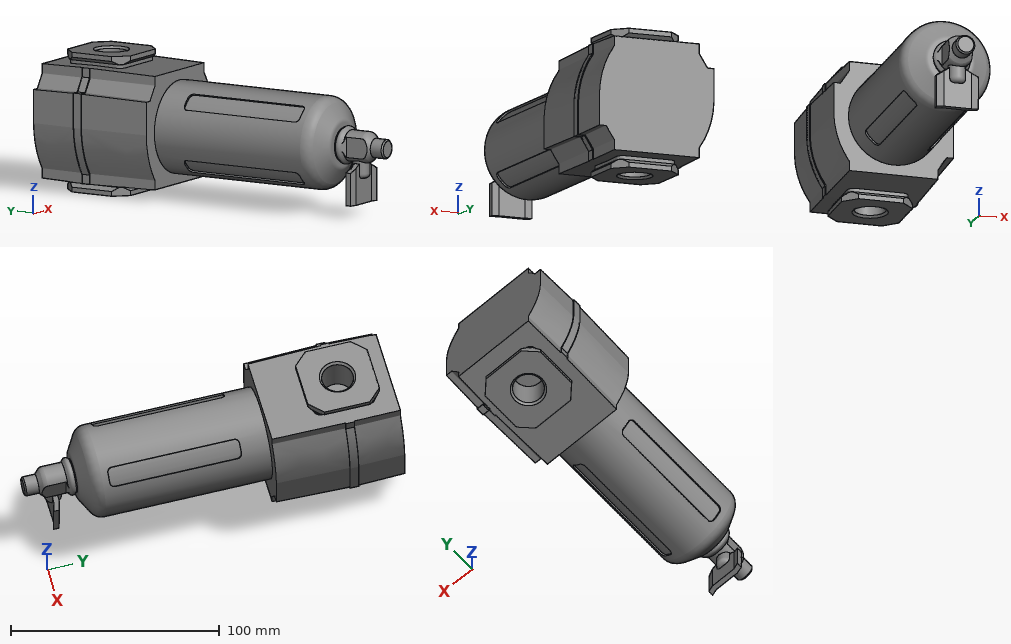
import cadquery as cq
import math


HEAD_FRONT = 38.5
HEAD_BACK = 25.2
HEAD_WIDTH = 62.3
BAND_RISE = 0.45
BAND_STEP_RISE = 0.2
DRAFT_ANGLE = 1.0
HEAD_HALF_HEIGHT = 28.3
FLAT_HALF_WIDTH = 22.9
SIDE_HALF_WIDTH = HEAD_WIDTH / 2 - BAND_RISE
CORNER_HEIGHT = 23.2
STEP_HEIGHT = 16.9
STEP_HALF_WIDTH = 27.0
SIDE_BULGE_X = 28.3
SIDE_BULGE_Z = 12.7
BAND_HALF_LENGTH = 2.2

FLANGE_SPAN = 68.0
PORT_TOP = FLANGE_SPAN / 2
PLATE_HALF_WIDTH = 17.8
PLATE_CORNER_CUT = 6.5
PLATE_THICKNESS = 4.2
PLATE_BEVEL_HEIGHT = 1.8
NECK_HALF_WIDTH = 15.2
NECK_CORNER_RADIUS = 3.5
PORT_RADIUS = 7.6
PORT_CHAMFER = 1.0
PORT_DEPTH = 18.2

BOWL_RADIUS = 22.7
BOWL_END = 131.4
BOWL_CONE_ANGLE = 31.5
BOWL_TIP_RADIUS = 11.6
BOWL_SHOULDER_FILLET = 6.4
BOWL_TIP_FILLET = 3.3
WINDOW_COUNT = 4
WINDOW_START = 52.5
WINDOW_END = 117.8
WINDOW_WIDTH = 9.6
WINDOW_DEPTH = 0.9
WINDOW_CORNER_RADIUS = 2.4

OVERALL_LENGTH = 181.5
DRAIN_LENGTH = OVERALL_LENGTH - HEAD_BACK - BOWL_END
COLLAR_BASE_RADIUS = 8.3
COLLAR_BASE_LENGTH = 0.5
COLLAR_RADIUS = 9.3
COLLAR_MIDDLE = 1.8
COLLAR_LENGTH = 3.0
COLLAR_EDGE_RADIUS = 8.9
DRAIN_RADIUS = 7.6
FLAT_START = 5.0
DRAIN_FLAT_HALF_WIDTH = 5.8
STEM_RADIUS = 4.7
STEM_START = 18.0
DRAIN_SHOULDER_FILLET = 2.7
STEM_END_CHAMFER = 0.7

LEVER_OFFSET = 10.0
BOSS_RADIUS = 4.2
BOSS_BOTTOM = 15.2
BOSS_FILLET = 2.2
LEVER_THICKNESS = 2.7
LEVER_BEND_X = 6.9
LEVER_TIP_X = 10.2
LEVER_BEND_SHIFT = 1.0
LEVER_BOTTOM = 27.5
LEVER_TOP_X = 4.2
LEVER_TOP = 7.8
LEVER_TIP_TOP = 11.6


def ring_at(distance):
    """Selector for the circular edge around the bowl axis at Y = -distance."""
    return cq.selectors.NearestToPointSelector((0, -distance, 0))


def head_outline(rise=0, step_rise=0):
    """Head cross-section, repeating after half a turn; the sides and steps can be moved out."""
    flat = FLAT_HALF_WIDTH + rise
    side = SIDE_HALF_WIDTH + rise
    step = STEP_HALF_WIDTH + rise
    bulge = SIDE_BULGE_X + rise
    corner_z = CORNER_HEIGHT + rise
    step_z = STEP_HEIGHT + step_rise
    outline = cq.Workplane("XZ").moveTo(-flat, HEAD_HALF_HEIGHT)
    for turn in (1, -1):
        outline = (
            outline.lineTo(turn * flat, turn * HEAD_HALF_HEIGHT)
            .lineTo(turn * flat, turn * corner_z)
            .threePointArc((turn * bulge, turn * SIDE_BULGE_Z), (turn * side, 0))
            .lineTo(turn * side, -turn * step_z)
            .lineTo(turn * step, -turn * step_z)
            .lineTo(turn * flat, -turn * corner_z)
            .lineTo(turn * flat, -turn * HEAD_HALF_HEIGHT)
        )
    return outline.close()


def drafted_block():
    """Head block that narrows from the parting plane toward both ends."""
    front_half = head_outline().extrude(HEAD_FRONT, taper=DRAFT_ANGLE)
    back_half = head_outline().extrude(HEAD_BACK, taper=DRAFT_ANGLE).mirror("XZ")
    return front_half.union(back_half)


def side_band():
    """Raised band along both sides; its top and bottom follow the draft, flush with the block."""
    band = head_outline(BAND_RISE, BAND_STEP_RISE).extrude(BAND_HALF_LENGTH, both=True)
    slab = cq.Workplane("XZ").rect(2 * HEAD_WIDTH, 2 * HEAD_HALF_HEIGHT)
    front_slab = slab.extrude(BAND_HALF_LENGTH, taper=DRAFT_ANGLE)
    return band.intersect(front_slab.union(front_slab.mirror("XZ")))


def port_flange():
    """Upper flange: a square plate with cut corners, bevelled down to a narrower neck."""
    plate_bottom = PORT_TOP - PLATE_THICKNESS
    octagon = (
        cq.Workplane("XY", origin=(0, 0, plate_bottom))
        .rect(2 * PLATE_HALF_WIDTH, 2 * PLATE_HALF_WIDTH)
        .extrude(PLATE_THICKNESS)
        .edges("|Z")
        .chamfer(PLATE_CORNER_CUT)
    )
    bevel = (
        cq.Workplane("XY", origin=(0, 0, plate_bottom))
        .rect(2 * NECK_HALF_WIDTH, 2 * NECK_HALF_WIDTH)
        .workplane(offset=PLATE_BEVEL_HEIGHT)
        .rect(2 * PLATE_HALF_WIDTH, 2 * PLATE_HALF_WIDTH)
        .loft()
    )
    rim = (
        cq.Workplane("XY", origin=(0, 0, plate_bottom + PLATE_BEVEL_HEIGHT))
        .rect(2 * PLATE_HALF_WIDTH, 2 * PLATE_HALF_WIDTH)
        .extrude(PLATE_THICKNESS - PLATE_BEVEL_HEIGHT)
    )
    neck = (
        cq.Workplane("XY")
        .rect(2 * NECK_HALF_WIDTH, 2 * NECK_HALF_WIDTH)
        .extrude(plate_bottom)
        .edges("|Z")
        .fillet(NECK_CORNER_RADIUS)
    )
    return octagon.intersect(bevel.union(rim)).union(neck)


def port_bore():
    """Blind upper port with a chamfered mouth."""
    mouth_radius = PORT_RADIUS + PORT_CHAMFER
    return (
        cq.Workplane("XZ")
        .moveTo(0, PORT_TOP)
        .lineTo(mouth_radius, PORT_TOP)
        .lineTo(PORT_RADIUS, PORT_TOP - PORT_CHAMFER)
        .lineTo(PORT_RADIUS, PORT_TOP - PORT_DEPTH)
        .lineTo(0, PORT_TOP - PORT_DEPTH)
        .close()
        .revolve(360, (0, 0, 0), (0, 1, 0))
    )


def make_head():
    flange = port_flange()
    bore = port_bore()
    head = drafted_block().union(side_band()).union(flange).union(flange.mirror("XY"))
    return head.cut(bore).cut(bore.mirror("XY"))


def bowl_window(angle):
    """Cutter for one shallow lengthwise window with a floor concentric with the bowl."""
    length = WINDOW_END - WINDOW_START
    middle = (WINDOW_START + WINDOW_END) / 2
    cutter = (
        cq.Workplane("XY", origin=(0, -middle, 0))
        .rect(WINDOW_WIDTH, length)
        .extrude(2 * BOWL_RADIUS)
        .edges("|Z")
        .fillet(WINDOW_CORNER_RADIUS)
    )
    core = cq.Workplane("XZ").circle(BOWL_RADIUS - WINDOW_DEPTH).extrude(BOWL_END)
    return cutter.cut(core).rotate((0, 0, 0), (0, 1, 0), angle)


def make_bowl():
    cone_length = (BOWL_RADIUS - BOWL_TIP_RADIUS) * math.tan(math.radians(BOWL_CONE_ANGLE))
    bowl = (
        cq.Workplane("XY")
        .moveTo(0, -HEAD_FRONT)
        .lineTo(BOWL_RADIUS, -HEAD_FRONT)
        .lineTo(BOWL_RADIUS, cone_length - BOWL_END)
        .lineTo(BOWL_TIP_RADIUS, -BOWL_END)
        .lineTo(0, -BOWL_END)
        .close()
        .revolve(360, (0, 0, 0), (0, 1, 0))
    )
    bowl = bowl.faces("<Y").edges().fillet(BOWL_TIP_FILLET)
    bowl = bowl.edges(ring_at(BOWL_END - cone_length)).fillet(BOWL_SHOULDER_FILLET)
    pitch = 360 / WINDOW_COUNT
    for index in range(WINDOW_COUNT):
        bowl = bowl.cut(bowl_window((index + 0.5) * pitch))
    return bowl


def drain_cock():
    """Turned collar, barrel and stem; the barrel has a flat on each side."""
    shoulder_start = STEM_START - (DRAIN_RADIUS - STEM_RADIUS)
    neck_start = COLLAR_LENGTH + COLLAR_EDGE_RADIUS - DRAIN_RADIUS
    turned = (
        cq.Workplane("XY", origin=(0, -BOWL_END, 0))
        .lineTo(COLLAR_BASE_RADIUS, 0)
        .lineTo(COLLAR_BASE_RADIUS, -COLLAR_BASE_LENGTH)
        .threePointArc((COLLAR_RADIUS, -COLLAR_MIDDLE), (COLLAR_EDGE_RADIUS, -COLLAR_LENGTH))
        .lineTo(DRAIN_RADIUS, -neck_start)
        .lineTo(DRAIN_RADIUS, -shoulder_start)
        .lineTo(STEM_RADIUS, -STEM_START)
        .lineTo(STEM_RADIUS, -DRAIN_LENGTH)
        .lineTo(0, -DRAIN_LENGTH)
        .close()
        .revolve(360, (0, 0, 0), (0, 1, 0))
    )
    turned = turned.faces("<Y").edges().chamfer(STEM_END_CHAMFER)
    turned = turned.edges(ring_at(BOWL_END + shoulder_start)).fillet(DRAIN_SHOULDER_FILLET)
    flat_envelope = (
        cq.Workplane("XY", origin=(0, -BOWL_END, -COLLAR_RADIUS))
        .moveTo(-COLLAR_RADIUS, 0)
        .lineTo(COLLAR_RADIUS, 0)
        .lineTo(COLLAR_RADIUS, -COLLAR_LENGTH)
        .lineTo(DRAIN_FLAT_HALF_WIDTH, -FLAT_START)
        .lineTo(DRAIN_FLAT_HALF_WIDTH, -DRAIN_LENGTH)
        .lineTo(-DRAIN_FLAT_HALF_WIDTH, -DRAIN_LENGTH)
        .lineTo(-DRAIN_FLAT_HALF_WIDTH, -FLAT_START)
        .lineTo(-COLLAR_RADIUS, -COLLAR_LENGTH)
        .close()
        .extrude(2 * COLLAR_RADIUS)
    )
    return turned.intersect(flat_envelope)


def lever_boss():
    return (
        cq.Workplane("XY", origin=(0, -BOWL_END - LEVER_OFFSET, -BOSS_BOTTOM))
        .circle(BOSS_RADIUS)
        .extrude(BOSS_BOTTOM)
        .faces("<Z")
        .edges()
        .fillet(BOSS_FILLET)
    )


def lever():
    """Upright plate whose two wings bend in opposite directions."""
    half = LEVER_THICKNESS / 2
    tip = LEVER_BEND_SHIFT
    plan = (
        cq.Workplane("XY", origin=(0, -BOWL_END - LEVER_OFFSET, -LEVER_BOTTOM))
        .moveTo(-LEVER_TIP_X, tip + half)
        .lineTo(-LEVER_BEND_X, half)
        .lineTo(LEVER_BEND_X, half)
        .lineTo(LEVER_TIP_X, half - tip)
        .lineTo(LEVER_TIP_X, -tip - half)
        .lineTo(LEVER_BEND_X, -half)
        .lineTo(-LEVER_BEND_X, -half)
        .lineTo(-LEVER_TIP_X, tip - half)
        .close()
        .extrude(LEVER_BOTTOM)
    )
    face = (
        cq.Workplane("XZ", origin=(0, -BOWL_END, 0))
        .moveTo(-LEVER_TIP_X, -LEVER_BOTTOM)
        .lineTo(LEVER_TIP_X, -LEVER_BOTTOM)
        .lineTo(LEVER_TIP_X, -LEVER_TIP_TOP)
        .lineTo(LEVER_TOP_X, -LEVER_TOP)
        .lineTo(-LEVER_TOP_X, -LEVER_TOP)
        .lineTo(-LEVER_TIP_X, -LEVER_TIP_TOP)
        .close()
        .extrude(DRAIN_LENGTH)
    )
    return plan.intersect(face)


def make_drain():
    return drain_cock().union(lever_boss()).union(lever())


head = make_head().solids()
bowl = make_bowl().solids()
drain = make_drain().solids()

result = cq.Compound.makeCompound([head.val(), bowl.val(), drain.val()])